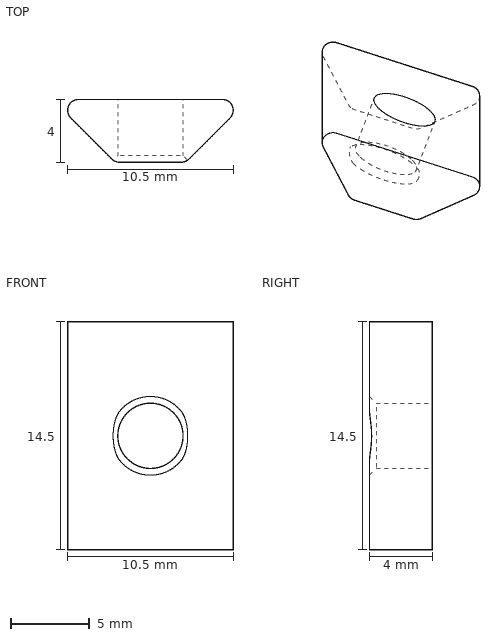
import cadquery as cq
import math

length = 14.5
width = 10.53
thickness = 4.0
edge_radius = 0.7
hole_diameter = 4.13
countersink_diameter = 5.0
flank_angle = math.radians(45)
countersink_angle = 90

wide_half = width / 2 - edge_radius + edge_radius / math.tan(flank_angle / 2)
narrow_half = wide_half - thickness / math.tan(flank_angle)


def make_body():
    """Trapezoidal bar with its narrow face at Y = 0 and rounded long edges."""
    corners = [
        (-narrow_half, 0),
        (narrow_half, 0),
        (wide_half, thickness),
        (-wide_half, thickness),
    ]
    bar = cq.Workplane("XY").polyline(corners).close().extrude(length)
    return bar.edges("|Z").fillet(edge_radius)


def drill_hole(body):
    """Through hole along Y, countersunk from the narrow face."""
    return (
        body.faces("<Y")
        .workplane(origin=(0, 0, length / 2))
        .cskHole(hole_diameter, countersink_diameter, countersink_angle)
    )


result = drill_hole(make_body())